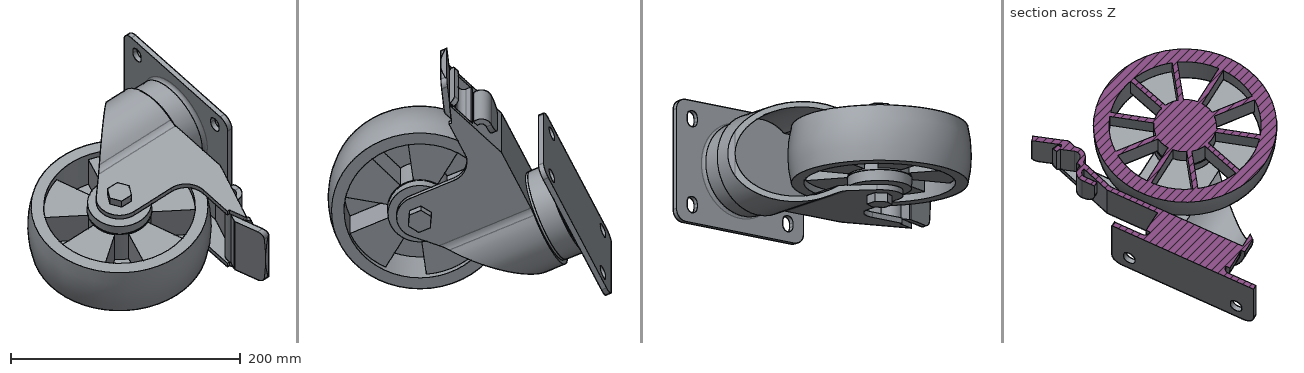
import cadquery as cq
import math


SHEET = 5.0

PLATE_LENGTH = 140.1
PLATE_WIDTH = 110.0
PLATE_CORNER = 10.0
SLOT_LENGTH = 14.5
SLOT_WIDTH = 11.0
SLOT_X = 52.7
SLOT_Z = 38.7

HEAD_RADIUS = 83.3 / 2
NECK_RADIUS = 37.7
NECK_FLARE = 5.0
HEAD_BOTTOM = -28.5
COLLAR_STEP = 0.2

FORK_TOP = -30.6
RING_RADIUS = 45.0
RING_FRONT_BOTTOM = -45.5
RING_KNEE = (-40.5, -49.5)
FORK_WIDTH = 73.0
TINE_BEND = 12.7
BOSS_RADIUS = 20.3
SLOPE_START_X = 91.0
SLOPE = math.radians(19.2)
TIP_X = 152.5
ARM_END_X = 135.5
ARM_BOTTOM = -60.3
ARM_FILLET = 19.5

WHEEL_X = 63.0
WHEEL_Y = -122.0
WHEEL_RADIUS = 160.0 / 2
TREAD_EDGE_RADIUS = 77.0
WHEEL_WIDTH = 50.0
RIM_RADIUS = 132.0 / 2
HUB_RADIUS = 56.5 / 2
HUB_TAPER = 0.5
HUB_WIDTH = 60.3
HUB_CORE_RADIUS = 27.5
HUB_CORE_WIDTH = 40.7
RIM_RECESS = 6.4
POCKETS_PER_SIDE = 5
POCKET_WALL = 5.0
AXLE_DIAMETER = 20.0
BOLT_FLATS = 19.0
BOLT_LENGTH = 88.7

PEDAL_ANGLE = math.radians(19)
PEDAL_END_X = PLATE_LENGTH / -2 + 245
PEDAL_END_BULGE = 2.0
PEDAL_CORNER = 6.4
PEDAL_HEEL = 7.8
PEDAL_THICKNESS = 5.5
LEVER_BEND = 10.5
LEVER_BEND_X = 133.3
LEVER_LENGTH = 15.5
TAB_HEIGHT = 6.1
TAB_SETBACK = 3.0
TAB_CORNER = 6.0
HOOK_TOP = -29.2
HOOK_LENGTH = 12.2
HOOK_BEND_X = 115.0
HOOK_BEND = 9.5
HOOK_CORNER = 12.0
HOOK_LEG = 3.7
HOOK_WIDTH = 54.0

TINE_OUTER = FORK_WIDTH / 2
TINE_INNER = TINE_OUTER - SHEET
TINE_GAP = 2 * TINE_INNER
FAR = 245


def move(point, distance, angle):
    """Point reached from another by going a distance along an angle in the XY plane."""
    return (point[0] + distance * math.cos(angle), point[1] + distance * math.sin(angle))


def across(profile, width):
    """Extrude a closed XY profile by a width centred on Z = 0."""
    return profile.extrude(width / 2, both=True)


def along_y(profile, start, end):
    """Extrude a closed XZ profile from one height Y to another lower one."""
    return profile.extrude(start - end).translate((0, start, 0))


def plan():
    """Workplane with local axes X and Z that extrudes towards -Y."""
    return cq.Workplane(cq.Plane(origin=(0, 0, 0), xDir=(1, 0, 0), normal=(0, -1, 0)))


def side():
    return cq.Workplane("XY")


def strip(start, length, angle, width, end_corner=0):
    """Flat sheet across the fork that runs from start along an angle, its thickness to the left."""
    sheet = cq.Workplane("XY").box(length, SHEET, width, centered=(False, False, True))
    if end_corner:
        sheet = sheet.edges("|Y and >X").fillet(end_corner)
    return sheet.rotate((0, 0, 0), (0, 0, 1), math.degrees(angle)).translate((start[0], start[1], 0))


def bend(center, radius, start, end, width):
    """Bent sheet across the fork, with its outer radius and its start and end angles."""
    inner = radius - SHEET
    middle = (start + end) / 2
    profile = (
        side()
        .moveTo(*move(center, radius, start))
        .threePointArc(move(center, radius, middle), move(center, radius, end))
        .lineTo(*move(center, inner, end))
        .threePointArc(move(center, inner, middle), move(center, inner, start))
        .close()
    )
    return across(profile, width)


def mounting_plate():
    plate = along_y(plan().rect(PLATE_LENGTH, PLATE_WIDTH), 0, -SHEET).edges("|Y").fillet(PLATE_CORNER)
    spots = [(x, z) for x in (-SLOT_X, SLOT_X) for z in (-SLOT_Z, SLOT_Z)]
    slots = plan().pushPoints(spots).slot2D(SLOT_LENGTH, SLOT_WIDTH, 90).extrude(SHEET)
    return plate.cut(slots)


def swivel_head():
    flare_radius = NECK_RADIUS + NECK_FLARE
    head_top = -SHEET - NECK_FLARE
    flare_middle = move((flare_radius, head_top), NECK_FLARE, math.radians(135))
    collar_radius = HEAD_RADIUS - COLLAR_STEP
    profile = (
        side()
        .moveTo(0, -SHEET)
        .lineTo(flare_radius, -SHEET)
        .threePointArc(flare_middle, (NECK_RADIUS, head_top))
        .lineTo(HEAD_RADIUS, head_top)
        .lineTo(HEAD_RADIUS, HEAD_BOTTOM)
        .lineTo(collar_radius, HEAD_BOTTOM)
        .lineTo(collar_radius, FORK_TOP)
        .lineTo(0, FORK_TOP)
        .close()
    )
    return profile.revolve(360, (0, 0, 0), (0, 1, 0))


def fork_block():
    """Keyhole-shaped block: a round about the swivel axis blending into two straight sides."""
    bend_z = TINE_OUTER + TINE_BEND
    reach = RING_RADIUS + TINE_BEND
    bend_x = math.sqrt(reach**2 - bend_z**2)
    share = RING_RADIUS / reach
    start = (bend_x * share, bend_z * share)
    slant = math.atan2(bend_z, bend_x)
    middle = move((bend_x, bend_z), TINE_BEND, (slant - 1.5 * math.pi) / 2)
    profile = (
        plan()
        .moveTo(start[0], -start[1])
        .threePointArc((-RING_RADIUS, 0), start)
        .threePointArc(middle, (bend_x, TINE_OUTER))
        .lineTo(FAR, TINE_OUTER)
        .lineTo(FAR, -TINE_OUTER)
        .lineTo(bend_x, -TINE_OUTER)
        .threePointArc((middle[0], -middle[1]), (start[0], -start[1]))
        .close()
    )
    return along_y(profile, 0, -FAR)


def fork_cavity():
    """Round bore of the ring, meeting the gap between the tines in a sharp corner."""
    bore = along_y(plan().circle(RING_RADIUS - SHEET), 0, -FAR)
    gap = along_y(plan().center(FAR / 2, 0).rect(FAR, TINE_GAP), 0, -FAR)
    return bore.union(gap)


SLOPE_START = (SLOPE_START_X, FORK_TOP)
FORK_TIP = move(SLOPE_START, (TIP_X - SLOPE_START_X) / math.cos(SLOPE), -SLOPE)


def pedal_line(x):
    """Height of the upper pedal face, which passes through the fork tip."""
    return FORK_TIP[1] + (x - TIP_X) * math.tan(PEDAL_ANGLE)


LEVER_CENTER = (LEVER_BEND_X, pedal_line(LEVER_BEND_X) + LEVER_BEND / math.cos(PEDAL_ANGLE))
PEDAL_START = move(LEVER_CENTER, LEVER_BEND, PEDAL_ANGLE - math.pi / 2)


def fork():
    """Bent sheet ring with two tines, closed on top by a flat and a sloped web."""
    axle = (WHEEL_X, WHEEL_Y)
    reach = math.dist(RING_KNEE, axle)
    toward_knee = math.atan2(RING_KNEE[1] - WHEEL_Y, RING_KNEE[0] - WHEEL_X)
    tangent = toward_knee + math.acos(BOSS_RADIUS / reach)
    boss_right = WHEEL_X + BOSS_RADIUS
    fillet_center = (boss_right + ARM_FILLET, ARM_BOTTOM - ARM_FILLET)
    outline = (
        side()
        .moveTo(-RING_RADIUS, FORK_TOP)
        .lineTo(*SLOPE_START)
        .lineTo(*FORK_TIP)
        .lineTo(ARM_END_X, pedal_line(ARM_END_X))
        .lineTo(ARM_END_X, ARM_BOTTOM)
        .lineTo(fillet_center[0], ARM_BOTTOM)
        .threePointArc(
            move(fillet_center, ARM_FILLET, math.radians(135)),
            (boss_right, fillet_center[1]),
        )
        .lineTo(boss_right, WHEEL_Y)
        .threePointArc((WHEEL_X, WHEEL_Y - BOSS_RADIUS), move(axle, BOSS_RADIUS, tangent))
        .lineTo(*RING_KNEE)
        .lineTo(-RING_RADIUS, RING_FRONT_BOTTOM)
        .close()
    )
    tines = across(outline, 2 * RING_RADIUS).intersect(fork_block().cut(fork_cavity()))

    web_end_x = LEVER_BEND_X - LEVER_BEND + SHEET
    web_end = move(SLOPE_START, (web_end_x - SLOPE_START_X) / math.cos(SLOPE), -SLOPE)
    lower_bend = (SLOPE_START_X - SHEET * math.tan(SLOPE / 2), FORK_TOP - SHEET)
    web_outline = (
        side()
        .moveTo(-RING_RADIUS, FORK_TOP)
        .lineTo(*SLOPE_START)
        .lineTo(*web_end)
        .lineTo(web_end_x, web_end[1] - SHEET / math.cos(SLOPE))
        .lineTo(*lower_bend)
        .lineTo(-RING_RADIUS, FORK_TOP - SHEET)
        .close()
    )
    web = across(web_outline, 2 * RING_RADIUS).intersect(fork_block())
    return tines.union(web)


def brake_lever():
    """Sheet that hangs from the sloped web, bends along the pedal and ends in a raised tab."""
    left = LEVER_CENTER[0] - LEVER_BEND
    hanger = strip((left + SHEET, LEVER_CENTER[1]), SHEET, math.pi / 2, TINE_GAP)
    curve = bend(LEVER_CENTER, LEVER_BEND, math.pi, PEDAL_ANGLE + 1.5 * math.pi, TINE_GAP)
    run = strip(PEDAL_START, LEVER_LENGTH - TAB_SETBACK, PEDAL_ANGLE, TINE_GAP)
    tab_foot = move(PEDAL_START, LEVER_LENGTH, PEDAL_ANGLE)
    tab = strip(tab_foot, TAB_HEIGHT, math.pi / 2 - SLOPE, TINE_GAP, TAB_CORNER)
    return hanger.union(curve).union(run).union(tab)


def pedal():
    """Foot plate below the lever sheet, with a blunt heel and a rounded bulging end."""
    heel = move(PEDAL_START, PEDAL_HEEL, -SLOPE)
    thickness = PEDAL_THICKNESS / math.cos(PEDAL_ANGLE)
    heel_end_x = TIP_X + (heel[1] + thickness - FORK_TIP[1]) / math.tan(PEDAL_ANGLE)
    end_x = PEDAL_END_X - PEDAL_THICKNESS * math.sin(PEDAL_ANGLE)
    profile = (
        side()
        .moveTo(*PEDAL_START)
        .lineTo(*heel)
        .lineTo(heel_end_x, heel[1])
        .lineTo(PEDAL_END_X, pedal_line(PEDAL_END_X) - thickness)
        .lineTo(end_x, pedal_line(end_x))
        .close()
    )
    corner_x = PEDAL_END_X - PEDAL_END_BULGE
    outline = (
        plan()
        .moveTo(0, -TINE_INNER)
        .lineTo(corner_x, -TINE_INNER)
        .threePointArc((PEDAL_END_X, 0), (corner_x, TINE_INNER))
        .lineTo(0, TINE_INNER)
        .close()
    )
    trim = along_y(outline, 0, -FAR).edges("|Y and (not <X)").fillet(PEDAL_CORNER)
    return across(profile, TINE_GAP).intersect(trim)


def hook():
    """Release hook that stands on the sloped web and curls back over it."""
    center = (HOOK_BEND_X, HOOK_TOP - HOOK_BEND)
    lip = strip((HOOK_BEND_X, HOOK_TOP), HOOK_LENGTH, math.pi, HOOK_WIDTH, HOOK_CORNER)
    curve = bend(center, HOOK_BEND, math.pi / 2, -SLOPE, HOOK_WIDTH)
    leg = strip(move(center, HOOK_BEND - SHEET, -SLOPE), HOOK_LEG, -SLOPE - math.pi / 2, HOOK_WIDTH)
    return lip.union(curve).union(leg)


def tread_and_rim():
    half = WHEEL_WIDTH / 2
    profile = (
        cq.Workplane("XZ")
        .moveTo(RIM_RADIUS, -half)
        .lineTo(TREAD_EDGE_RADIUS, -half)
        .threePointArc((WHEEL_RADIUS, 0), (TREAD_EDGE_RADIUS, half))
        .lineTo(RIM_RADIUS, half)
        .close()
    )
    return profile.revolve(360, (0, 0, 0), (0, 1, 0))


def hub():
    """Straight core between two collars that taper slightly towards their ends."""
    collar_width = (HUB_WIDTH - HUB_CORE_WIDTH) / 2
    taper = math.degrees(math.atan(HUB_TAPER / collar_width))
    collar = (
        cq.Workplane("XY", origin=(0, 0, HUB_CORE_WIDTH / 2))
        .circle(HUB_RADIUS)
        .extrude(collar_width, taper=taper)
    )
    core = cq.Workplane("XY").circle(HUB_CORE_RADIUS).extrude(HUB_CORE_WIDTH / 2, both=True)
    return core.union(collar).union(collar.mirror("XY"))


def wheel_disc():
    """Disc between hub and rim, pocketed alternately from both sides so that thin walls remain."""
    half = WHEEL_WIDTH / 2 - RIM_RECESS
    disc = cq.Workplane("XY").circle(RIM_RADIUS).extrude(half, both=True)
    sector = math.pi / POCKETS_PER_SIDE
    apex = POCKET_WALL / 2 / math.sin(sector / 2)
    depth = 2 * half - SHEET
    for index in range(2 * POCKETS_PER_SIDE):
        middle = index * sector
        corner = move((0, 0), apex, middle)
        wedge = [corner, move(corner, FAR, middle - sector / 2), move(corner, FAR, middle + sector / 2)]
        floor = SHEET - half if index % 2 else -half
        disc = disc.cut(cq.Workplane("XY", origin=(0, 0, floor)).polyline(wedge).close().extrude(depth))
    return disc


def axle():
    """Axle with a hexagonal head at each end, one corner pointing up."""
    pin = cq.Workplane("XY").circle(AXLE_DIAMETER / 2).extrude(FORK_WIDTH / 2, both=True)
    across_corners = BOLT_FLATS / math.cos(math.pi / 6)
    head_height = (BOLT_LENGTH - FORK_WIDTH) / 2
    for bottom in (-BOLT_LENGTH / 2, FORK_WIDTH / 2):
        hexagon = cq.Workplane("XY", origin=(0, 0, bottom)).transformed(rotate=(0, 0, 90))
        pin = pin.union(hexagon.polygon(6, across_corners).extrude(head_height))
    return pin


wheel = tread_and_rim().union(wheel_disc()).union(hub()).union(axle()).translate((WHEEL_X, WHEEL_Y, 0))

result = (
    mounting_plate()
    .union(swivel_head())
    .union(fork())
    .union(hook())
    .union(brake_lever())
    .union(pedal())
    .union(wheel)
)